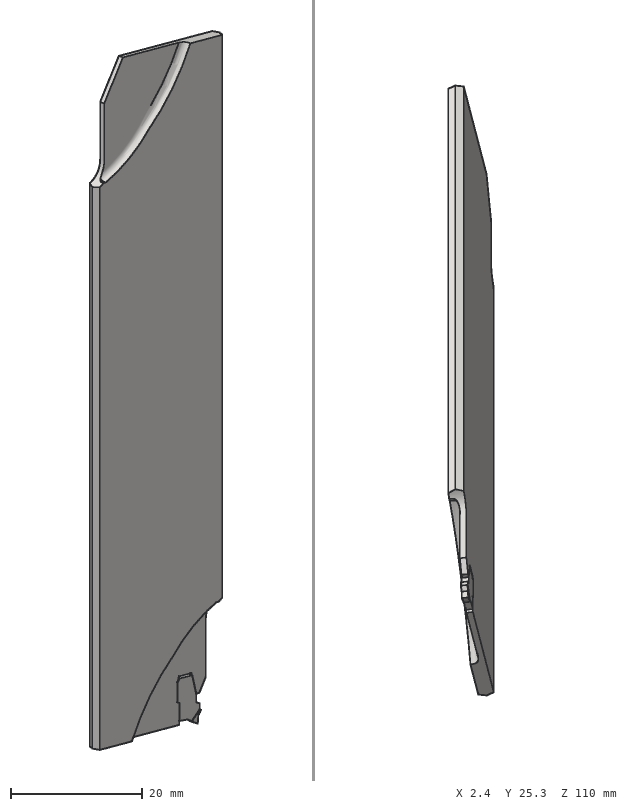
import cadquery as cq
import math

thickness = 2.4
width = 25.3
top_z = 110.0
bottom_z = 0.5
center_y = width / 2
center_z = (bottom_z + top_z) / 2

bevel_depth = 0.4
ridge_x = thickness / 2

nose_width = 6.3
relief_depth = 2.5
nose_height = 6.6
relief_height = 15.8
runout_radius = 3.7
runout_rise = math.sqrt(runout_radius**2 - (runout_radius - relief_depth)**2)

web_thickness = 1.0
floor_fillet = 1.0
pocket_top_y = 19.7
pocket_floor_z = 91.3
pocket_exit_y = 1.6
upper_wall_middle = (15.0, 103.6)
wall_corner = (10.1, 97.9)
lower_wall_middle = (6.2, 94.0)

cut_margin = 3.3

insert_thickness = 1.1
seat_top_z = 8.4
seat_clearance = 0.3
insert_top_z = seat_top_z - seat_clearance
inner_wall_y = 17.5
inner_bulge_y = 17.0
neck_y = 20.8
outer_top_y = 19.9
neck_top_z = 4.8
seat_slope = (neck_y - outer_top_y) / (seat_top_z - neck_top_z)
shoulder_z = 7.5
inner_step_top_z = 4.3
inner_step_bottom_z = 4.1
insert_heel_z = 1.2
side_relief = 0.05
tip_back = (19.9, 0.7)
tip_front = (21.5, 2.2)


def prism(outline, depth, start_x=0.0):
    """Extrude a closed YZ outline along +X."""
    return outline.close().extrude(depth).translate((start_x, 0, 0))


def half_turn(body):
    """Copy of a shape turned onto the opposite cutting corner."""
    return body.rotate((0, center_y, center_z), (1, center_y, center_z), 180)


def ridged_bar():
    """Full-height bar whose two long edges come to a ridge."""
    section = [
        (0, bevel_depth),
        (ridge_x, 0),
        (thickness, bevel_depth),
        (thickness, width - bevel_depth),
        (ridge_x, width),
        (0, width - bevel_depth),
    ]
    bar = cq.Workplane("XY").polyline(section).close().extrude(top_z - bottom_z)
    return bar.translate((0, 0, bottom_z))


def corner_relief():
    """Material removed outside the top cutting corner."""
    arc_start_z = top_z - relief_height
    arc_center_y = relief_depth - runout_radius
    half_angle = math.asin(runout_rise / runout_radius) / 2
    arc_middle = (
        arc_center_y + runout_radius * math.cos(half_angle),
        arc_start_z - runout_radius * math.sin(half_angle),
    )
    plan = (
        cq.Workplane("YZ")
        .moveTo(nose_width, top_z)
        .lineTo(relief_depth, top_z - nose_height)
        .lineTo(relief_depth, arc_start_z)
        .threePointArc(arc_middle, (0, arc_start_z - runout_rise))
        .lineTo(-cut_margin, arc_start_z - runout_rise)
        .lineTo(-cut_margin, top_z)
    )
    return prism(plan, thickness)


def web_thinning():
    """Pocket on the +X side that leaves a thin web at the top corner."""
    plan = (
        cq.Workplane("YZ")
        .moveTo(pocket_top_y, top_z + cut_margin)
        .threePointArc(upper_wall_middle, wall_corner)
        .threePointArc(lower_wall_middle, (pocket_exit_y, pocket_floor_z))
        .lineTo(-cut_margin, pocket_floor_z)
        .lineTo(-cut_margin, top_z + cut_margin)
    )
    pocket = prism(plan, thickness, web_thickness)
    wall_region = cq.selectors.BoxSelector((0, -cut_margin / 2, 0), (thickness, width, top_z))
    return pocket.faces("<X").edges(wall_region).fillet(floor_fillet)


def inner_wall_points():
    """Seat wall shared by insert and blade, from bottom to top."""
    return [
        (inner_wall_y, inner_step_bottom_z),
        (inner_bulge_y, inner_step_top_z),
        (inner_bulge_y, shoulder_z),
    ]


def insert_seat():
    """Slot through the web, open toward the bottom cutting corner."""
    plan = cq.Workplane("YZ").polyline([
        (inner_wall_y, bottom_z - cut_margin),
        *inner_wall_points(),
        (inner_wall_y, seat_top_z),
        (outer_top_y, seat_top_z),
        (neck_y, neck_top_z),
        (neck_y + cut_margin, neck_top_z),
        (neck_y + cut_margin, bottom_z - cut_margin),
    ])
    return prism(plan, thickness)


def make_blade():
    blade = ridged_bar()
    for cutter in (corner_relief(), web_thinning()):
        blade = blade.cut(cutter).cut(half_turn(cutter))
    return blade.cut(insert_seat())


def make_insert():
    body_plan = cq.Workplane("YZ").polyline([
        (inner_wall_y, insert_heel_z),
        *inner_wall_points(),
        (inner_wall_y, insert_top_z),
        (outer_top_y + seat_clearance * seat_slope, insert_top_z),
        (neck_y, neck_top_z),
        (neck_y, 3.5),
        (21.5, 3.2),
        tip_front,
        tip_back,
        (19.1, 1.1),
    ])
    tip_plan = cq.Workplane("YZ").polyline([
        tip_back,
        tip_front,
        (21.8, 2.1),
        (21.2, 1.3),
        (21.1, 0),
        (20.4, 0.3),
    ])
    body = prism(body_plan, insert_thickness)
    tip = prism(tip_plan, insert_thickness - 2 * side_relief, side_relief)
    return body.union(tip)


blade = make_blade()
insert = make_insert()
result = cq.Compound.makeCompound([blade.val(), insert.val()])